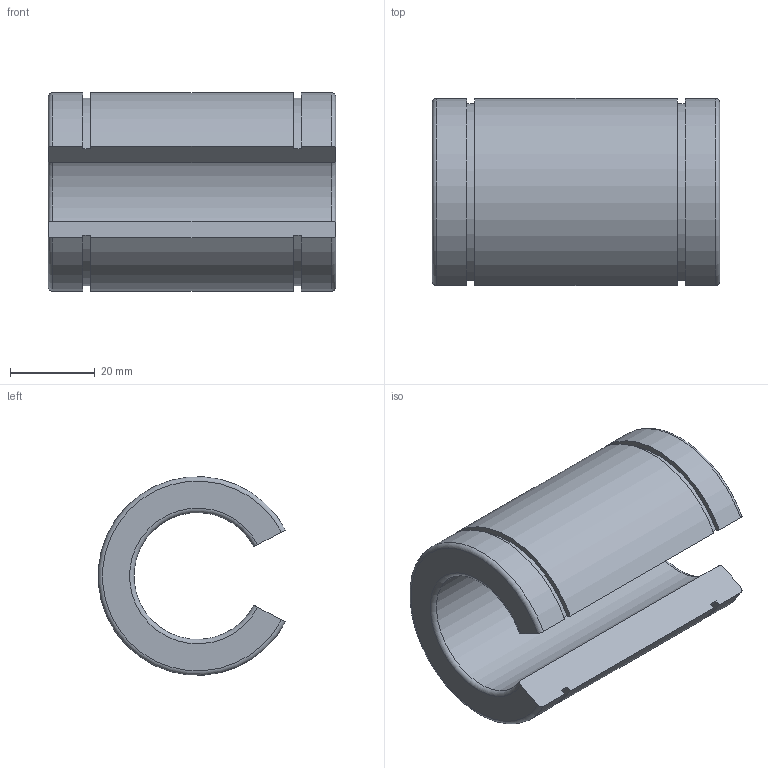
import cadquery as cq
import math

length = 68.0
outer_radius = 23.5
bore_radius = 15.0
edge_radius = 1.05

groove_width = 1.85
groove_radius = 22.25
groove_span = 51.7

slot_half_angle = 27.5


def x_cylinder(radius, start, width):
    """Solid cylinder about the X axis, beginning at x = start."""
    return cq.Workplane("YZ").workplane(offset=start).circle(radius).extrude(width)


def make_sleeve():
    start = -length / 2
    tube = x_cylinder(outer_radius, start, length).cut(x_cylinder(bore_radius, start, length))
    return tube.edges("%CIRCLE").fillet(edge_radius)


def make_groove(side):
    """Ring of material removed for a groove; side is -1 or +1 along X."""
    center = side * (groove_span - groove_width) / 2
    start = center - groove_width / 2
    clearance_radius = outer_radius + edge_radius
    ring = x_cylinder(clearance_radius, start, groove_width)
    return ring.cut(x_cylinder(groove_radius, start, groove_width))


def make_slot():
    """Wedge from the axis towards -Y, opening the sleeve along its whole length."""
    reach = 2 * outer_radius
    half_opening = reach * math.tan(math.radians(slot_half_angle))
    corners = [(0, 0), (-reach, half_opening), (-reach, -half_opening)]
    return cq.Workplane("YZ").polyline(corners).close().extrude(length, both=True)


result = make_sleeve()
for side in (-1, 1):
    result = result.cut(make_groove(side))
result = result.cut(make_slot())